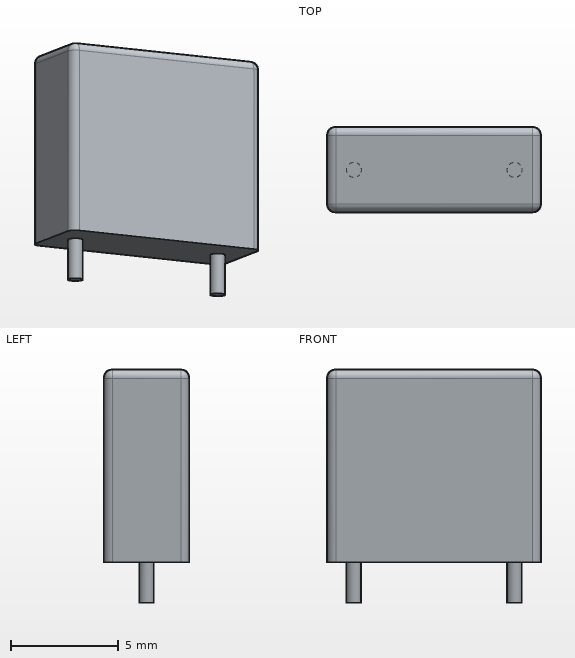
import cadquery as cq

total_height = 10.9
body_length = 10.0
body_width = 4.0
body_height = 9.0
edge_radius = 0.4

pin_diameter = 0.7
pin_pitch = 7.5
pin_length = total_height - body_height


def make_body():
    """Box standing on Z = 0, rounded everywhere except around its flat base."""
    box = cq.Workplane("XY").box(body_length, body_width, body_height, centered=(True, True, False))
    return box.edges("|Z or >Z").fillet(edge_radius)


def make_pins():
    """Two round pins hanging below the base on the long centre line."""
    pin_centres = [(-pin_pitch / 2, 0), (pin_pitch / 2, 0)]
    return cq.Workplane("XY").pushPoints(pin_centres).circle(pin_diameter / 2).extrude(-pin_length)


result = make_body().union(make_pins())